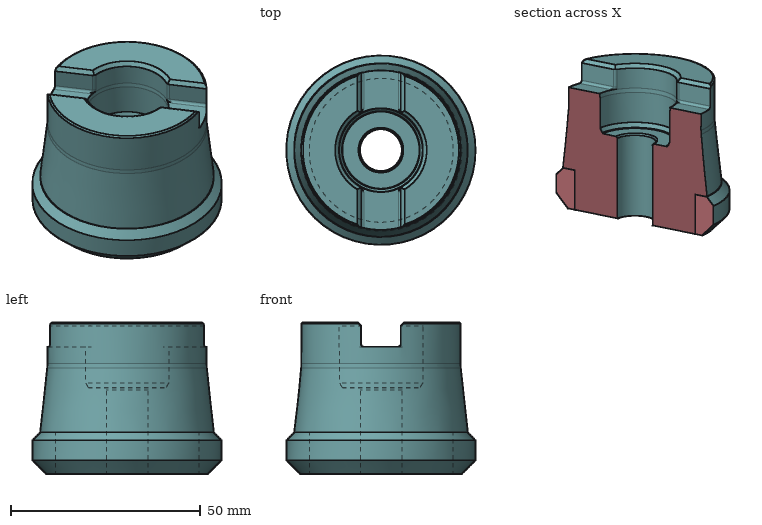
import cadquery as cq

height = 40.05
overlap = 0.5

ring_radius = 25.0
ring_base_radius = 21.3
ring_base_chamfer_height = 3.7
ring_rim_top = 8.9
ring_height = 11.1
ring_bore_radius = 19.0

neck_radius = 42.0 / 2
cone_base_radius = 22.95
cone_top = 28.65
cone_blend_radius = 10.25
neck_chamfer = 0.45

slot_width = 10.45
slot_depth = 6.45
slot_floor = height - slot_depth
slot_floor_fillet = 0.7
slot_chamfer = 1.0
slot_corner_fillet = 1.0

mouth_radius = 22.2 / 2
mouth_chamfer = 1.0
bore_radius = 22.0 / 2
bore_taper_height = 1.15
bore_floor = 22.95
floor_taper_height = 1.2
floor_edge_radius = 10.3
recess_radius = 10.15
recess_depth = 0.2
hole_radius = 11.0 / 2
hole_chamfer = 0.45


def revolve_profile(points):
    """Turn a closed (radius, z) outline around the Z axis."""
    return cq.Workplane("XZ").polyline(points).close().revolve(360, (0, 0, 0), (0, 1, 0))


def make_cutting_ring():
    """Double-bevelled ring with a plain bore for the holder's spigot."""
    ring_top_radius = ring_radius - (ring_height - ring_rim_top)
    return revolve_profile([
        (ring_bore_radius, 0),
        (ring_base_radius, 0),
        (ring_radius, ring_base_chamfer_height),
        (ring_radius, ring_rim_top),
        (ring_top_radius, ring_height),
        (ring_bore_radius, ring_height),
    ])


def make_holder_blank():
    """Spigot, shoulder, cone and neck without any cuts."""
    blank = revolve_profile([
        (0, 0),
        (ring_bore_radius, 0),
        (ring_bore_radius, ring_height),
        (cone_base_radius, ring_height),
        (neck_radius, cone_top),
        (neck_radius, height),
        (0, height),
    ])
    blank = blank.faces(">Z").edges().chamfer(neck_chamfer)
    transition = cq.selectors.BoxSelector(
        (-ring_radius, -ring_radius, cone_top - overlap),
        (ring_radius, ring_radius, cone_top + overlap),
    )
    return blank.edges(transition).fillet(cone_blend_radius)


def make_mouth_and_slot_cutter():
    """Bore mouth joined with the drive slot, with rounded corners between them."""
    slot_length = 2 * (neck_radius + overlap)
    slot = (
        cq.Workplane("XY")
        .workplane(offset=slot_floor)
        .rect(slot_width, slot_length)
        .extrude(slot_depth)
        .edges("|Y and <Z")
        .fillet(slot_floor_fillet)
    )
    mouth = (
        cq.Workplane("XY")
        .workplane(offset=slot_floor)
        .circle(mouth_radius)
        .extrude(slot_depth)
    )
    corners = cq.selectors.BoxSelector(
        (-mouth_radius, -mouth_radius, slot_floor),
        (mouth_radius, mouth_radius, height),
    )
    cutter = mouth.union(slot)
    return cutter.edges("|Z").edges(corners).fillet(slot_corner_fillet)


def make_bore_cutter():
    """Stepped bore from the mouth down through the bottom."""
    hole_chamfer_radius = hole_radius + hole_chamfer
    recess_floor = bore_floor - recess_depth
    return revolve_profile([
        (0, -overlap),
        (hole_radius, -overlap),
        (hole_radius, recess_floor - hole_chamfer),
        (hole_chamfer_radius, recess_floor),
        (recess_radius, recess_floor),
        (recess_radius, bore_floor),
        (floor_edge_radius, bore_floor),
        (bore_radius, bore_floor + floor_taper_height),
        (bore_radius, slot_floor - bore_taper_height),
        (mouth_radius, slot_floor),
        (0, slot_floor),
    ])


def make_top_chamfer_cutters():
    """45 degree bevels along the slot's upper edges and around the bore mouth."""
    half_width = slot_width / 2
    slot_bevel = (
        cq.Workplane("XZ")
        .polyline([
            (-half_width, height - slot_chamfer),
            (half_width, height - slot_chamfer),
            (half_width + slot_chamfer, height),
            (-half_width - slot_chamfer, height),
        ])
        .close()
        .extrude(neck_radius + overlap, both=True)
    )
    mouth_bevel = revolve_profile([
        (0, height - mouth_chamfer),
        (mouth_radius, height - mouth_chamfer),
        (mouth_radius + mouth_chamfer, height),
        (0, height),
    ])
    return slot_bevel.union(mouth_bevel)


def make_holder():
    return (
        make_holder_blank()
        .cut(make_mouth_and_slot_cutter())
        .cut(make_bore_cutter())
        .cut(make_top_chamfer_cutters())
    )


cutting_ring = make_cutting_ring()
holder = make_holder()
result = cq.Compound.makeCompound([cutting_ring.val(), *holder.solids().vals()])